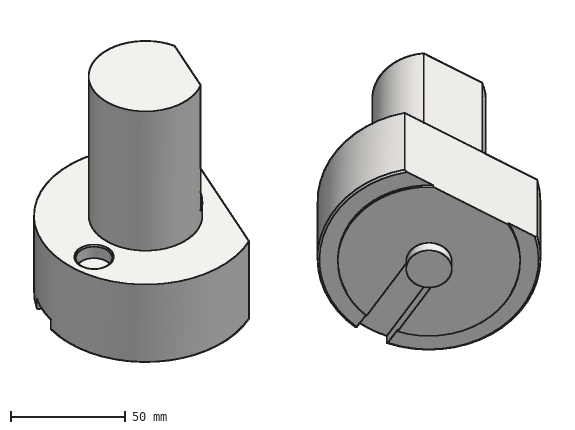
import cadquery as cq
import math

total_height = 128.8
head_top = 51.0
seat_bottom = 5.7
seat_thickness = 1.3
head_bottom = seat_bottom + seat_thickness

head_diameter = 97.9
flat_y = 35.0
head_chamfer = 0.9
seat_diameter = 80.0

shank_diameter = 50.0
shank_flat_y = 20.0
shank_flat_bottom = head_top + 7.7

pin_diameter = 20.0
slot_width = 16.0
slot_top = 13.1

hole_diameter = 16.0
hole_depth = 7.1
hole_chamfer = 0.6
hole_orbit_radius = 37.0
hole_angle = -60.0


def cylinder(diameter, bottom, top):
    return cq.Workplane("XY").workplane(offset=bottom).circle(diameter / 2).extrude(top - bottom)


def cut_beyond_y(body, y, bottom):
    """Cut a flat at y by removing all material on its +Y side above bottom."""
    waste = cq.Workplane("XY").box(head_diameter, head_diameter, total_height, centered=(True, False, False))
    return body.cut(waste.translate((0, y, bottom)))


def make_head():
    disc = cylinder(head_diameter, head_bottom, head_top).faces("<Z").chamfer(head_chamfer)
    seat = cylinder(seat_diameter, seat_bottom, head_bottom)
    return cut_beyond_y(disc.union(seat), flat_y, 0)


def make_shank():
    shank = cylinder(shank_diameter, head_top, total_height)
    return cut_beyond_y(shank, shank_flat_y, shank_flat_bottom)


def make_slot():
    slot = cq.Workplane("XY").box(slot_width, head_diameter / 2, slot_top, centered=(True, False, False))
    return slot.translate((0, -head_diameter / 2, 0))


def make_hole():
    angle = math.radians(hole_angle)
    center = (hole_orbit_radius * math.cos(angle), hole_orbit_radius * math.sin(angle), 0)
    bore = cylinder(hole_diameter, head_top - hole_depth, head_top)
    mouth = (
        cq.Workplane("XY")
        .workplane(offset=head_top)
        .circle(hole_diameter / 2 + hole_chamfer)
        .workplane(offset=-hole_chamfer)
        .circle(hole_diameter / 2)
        .loft()
    )
    return bore.union(mouth).translate(center)


pin = cylinder(pin_diameter, 0, slot_top)
result = make_head().union(make_shank()).cut(make_slot()).cut(make_hole()).union(pin)